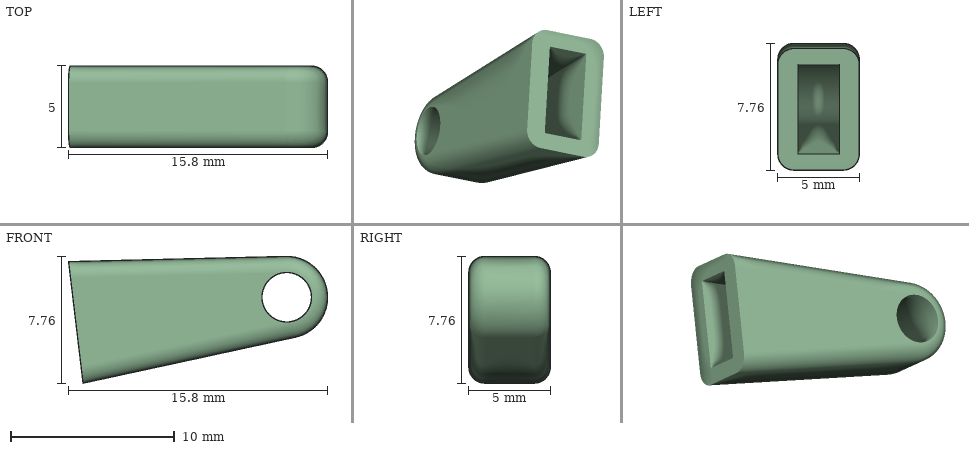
import cadquery as cq
import math

overall_length = 15.85
width = 5.0
end_radius = 2.5
wall = 1.0
entry_height = 7.5
pocket_width = 2.54
tilt = 6.8
edge_radius = wall

hole_radius = end_radius - wall
half_entry = entry_height / 2
tilt_angle = math.radians(tilt)
body_length = (
    overall_length - end_radius - half_entry * math.sin(tilt_angle)
) / math.cos(tilt_angle)
half_taper = math.atan2(half_entry, body_length) - math.asin(
    end_radius / math.hypot(half_entry, body_length)
)

pocket_center = (2 * hole_radius + wall) / (1 - math.sin(half_taper))
pocket_radius = hole_radius + pocket_center * math.sin(half_taper)
pocket_half_entry = half_entry - wall / math.cos(half_taper)


def tapered_bar(half_height, center_x, radius, thickness):
    """Bar with a flat end and straight sides tangent to a round end."""
    tangent_x = center_x + radius * math.sin(half_taper)
    tangent_z = radius * math.cos(half_taper)
    return (
        cq.Workplane("XZ")
        .moveTo(-body_length, -half_height)
        .lineTo(tangent_x, -tangent_z)
        .threePointArc((center_x + radius, 0), (tangent_x, tangent_z))
        .lineTo(-body_length, half_height)
        .close()
        .extrude(thickness / 2, both=True)
    )


body = tapered_bar(half_entry, 0, end_radius, width)
side_edges = body.faces("<Y or >Y").edges().filter(
    lambda edge: edge.Center().x > -body_length + edge_radius
)
body = body.newObject(side_edges.vals()).fillet(edge_radius)

pocket = tapered_bar(pocket_half_entry, -pocket_center, pocket_radius, pocket_width)

hole = cq.Workplane("XZ").circle(hole_radius).extrude(width, both=True)

result = body.cut(pocket).cut(hole).rotate((0, 0, 0), (0, 1, 0), -tilt)